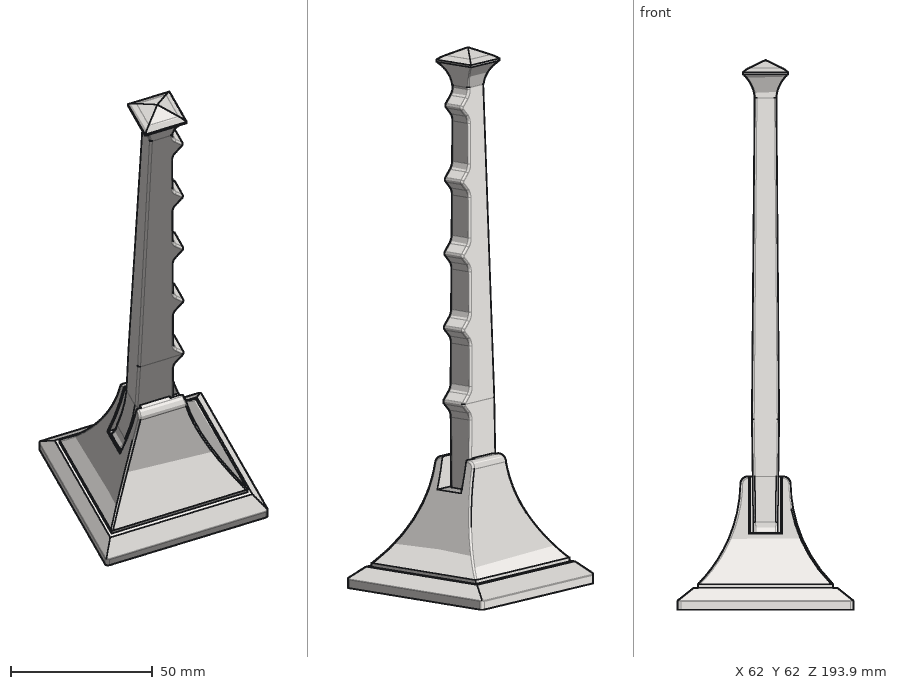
import cadquery as cq
import math

base_width = 62.0
base_half = base_width / 2
total_height = 193.9

plinth_height = 3.3
plinth_corner_radius = 1.2
plinth_rim_radius = 0.4
ledge_z = 7.8
ledge_half_x = 25.4
ledge_half_y = 27.1

step_z = 9.1
step_half_x = 23.8
step_half_y = 26.0
flare_mid_z = 27.1
flare_mid_half_x = 12.2
flare_mid_half_y = 15.1
base_top_z = 47.1
base_top_half = 9.0
base_top_radius = 2.7
ridge_radius = 0.8

post_top_z = 180.5
post_top_half_x = 3.9
post_waist_z = 67.3
post_waist_half_x = 4.8
post_foot_half_x = 4.3
post_hook_face_y = 5.8
post_top_slope_y = -3.0
post_base_slope_y = -8.7
post_edge_radius = 0.8

toe_z = 31.0
toe_y = -12.5
toe_mid_z = 38.4
toe_mid_y = -10.0
toe_end_y = -14.5
toe_bend_y = -13.2
toe_bend_z = 28.7

slot_half_x = 5.5
slot_bed_inset = 1.5
slot_mouth_chamfer = 0.4
front_slot_floor_z = 27.1
back_slot_floor_z = 35.7

hook_count = 5
hook_pitch = 26.65
top_hook_z = 173.7
hook_reach = 4.5
hook_tip_radius = 1.2
hook_blend_radius = 3.9

finial_center_y = (post_hook_face_y + post_top_slope_y) / 2
finial_half = 8.0
finial_rim_top_z = 189.6
finial_rim_bottom_z = 188.8
finial_pyramid_half = 5.6
finial_pyramid_base_z = 191.2
neck_half_y = (post_hook_face_y - post_top_slope_y) / 2
neck_edge_radius = 0.4
neck_mid_z = 184.5
neck_mid_flare = 1.0


def through(profile):
    """Close an outline centred on the part and extrude it right through both ways."""
    return profile.close().extrude(base_width, both=True)


def plinth_prism(plane, ledge_half):
    return through(
        cq.Workplane(plane)
        .moveTo(-base_half, 0)
        .lineTo(base_half, 0)
        .lineTo(base_half, plinth_height)
        .lineTo(ledge_half, ledge_z)
        .lineTo(-ledge_half, ledge_z)
        .lineTo(-base_half, plinth_height)
    )


def make_plinth():
    plinth = plinth_prism("XZ", ledge_half_x).intersect(plinth_prism("YZ", ledge_half_y))
    plinth = plinth.edges("|Z").fillet(plinth_corner_radius)
    rim_band = cq.selectors.BoxSelector(
        (-base_width, -base_width, plinth_height - plinth_rim_radius),
        (base_width, base_width, plinth_height + plinth_rim_radius),
    )
    return plinth.edges(rim_band).fillet(plinth_rim_radius)


def flare_prism(plane, step_half, mid_half):
    return through(
        cq.Workplane(plane)
        .moveTo(-step_half, step_z)
        .lineTo(step_half, step_z)
        .threePointArc((mid_half, flare_mid_z), (base_top_half, base_top_z))
        .lineTo(-base_top_half, base_top_z)
        .threePointArc((-mid_half, flare_mid_z), (-step_half, step_z))
    )


def make_flare():
    across = flare_prism("XZ", step_half_x, flare_mid_half_x)
    across = across.edges("|Y and >Z").fillet(base_top_radius)
    along = flare_prism("YZ", step_half_y, flare_mid_half_y)
    flare = across.intersect(along).edges("not(|X or |Y)").fillet(ridge_radius)
    step = (
        cq.Workplane("XY", origin=(0, 0, ledge_z))
        .rect(2 * step_half_x, 2 * step_half_y)
        .extrude(step_z - ledge_z)
    )
    return flare.union(step)


def make_slot(outward, bed_y, floor_z):
    """Slot open at the top, running from bed_y towards the outward (+1 or -1) Y side."""
    slot = cq.Workplane("XY").box(2 * slot_half_x, base_half, base_top_z, centered=(True, True, False))
    return slot.translate((0, bed_y + outward * base_half / 2, floor_z))


def make_base():
    front_slot = make_slot(-1, post_base_slope_y + slot_bed_inset, front_slot_floor_z)
    back_slot = make_slot(1, post_hook_face_y - slot_bed_inset, back_slot_floor_z)
    base = make_plinth().union(make_flare()).cut(front_slot).cut(back_slot)
    front_mouth = cq.selectors.BoxSelector(
        (-base_top_half, -base_half, front_slot_floor_z - slot_mouth_chamfer),
        (base_top_half, -base_top_half, base_top_z - slot_mouth_chamfer),
    )
    return base.edges(front_mouth).edges("not |Y").chamfer(slot_mouth_chamfer)


def make_hook():
    """One hook level with z = 0, rounded at its tip and blended into the post face."""
    sharp_tip_y = post_hook_face_y + hook_reach
    tip_offset = hook_tip_radius / math.sqrt(2)
    tip_arc_y = sharp_tip_y - tip_offset
    rounded_tip_y = sharp_tip_y - hook_tip_radius * (math.sqrt(2) - 1)
    half_turn = math.radians(45) / 2
    blend_length = hook_blend_radius * math.tan(half_turn)
    blend_offset = blend_length / math.sqrt(2)
    blend_start_z = hook_reach + blend_length
    blend_end = (post_hook_face_y + blend_offset, hook_reach - blend_offset)
    blend_mid = (
        post_hook_face_y + hook_blend_radius * (1 - math.cos(half_turn)),
        blend_start_z - hook_blend_radius * math.sin(half_turn),
    )
    return through(
        cq.Workplane("YZ")
        .moveTo(finial_center_y, blend_start_z)
        .lineTo(post_hook_face_y, blend_start_z)
        .threePointArc(blend_mid, blend_end)
        .lineTo(tip_arc_y, tip_offset)
        .threePointArc((rounded_tip_y, 0), (tip_arc_y, -tip_offset))
        .lineTo(blend_end[0], -blend_end[1])
        .threePointArc((blend_mid[0], -blend_mid[1]), (post_hook_face_y, -blend_start_z))
        .lineTo(finial_center_y, -blend_start_z)
    )


def make_post_side():
    """Side outline of the post, its toe and its hooks, extruded along X."""
    side = through(
        cq.Workplane("YZ")
        .moveTo(post_hook_face_y, post_top_z)
        .lineTo(post_top_slope_y, post_top_z)
        .lineTo(post_base_slope_y, base_top_z)
        .threePointArc((toe_mid_y, toe_mid_z), (toe_y, toe_z))
        .threePointArc((toe_bend_y, toe_bend_z), (toe_end_y, front_slot_floor_z))
        .lineTo(post_hook_face_y, front_slot_floor_z)
    )
    hook = make_hook()
    for index in range(hook_count):
        side = side.union(hook.translate((0, 0, top_hook_z - index * hook_pitch)))
    return side


def make_post_section(low_z, low_half_x, high_z, high_half_x):
    """Stretch of the post with straight tapering sides and rounded corner edges."""
    front = through(
        cq.Workplane("XZ")
        .moveTo(-low_half_x, low_z)
        .lineTo(low_half_x, low_z)
        .lineTo(high_half_x, high_z)
        .lineTo(-high_half_x, high_z)
    )
    section = make_post_side().intersect(front)
    return section.edges("not(|X or |Y)").fillet(post_edge_radius)


def make_post():
    lower = make_post_section(front_slot_floor_z, post_foot_half_x, post_waist_z, post_waist_half_x)
    upper = make_post_section(post_waist_z, post_waist_half_x, post_top_z, post_top_half_x)
    return lower.union(upper)


def finial_half_prism(plane, neck_half):
    """Half of the finial outline, on the positive side, extruded through."""
    return through(
        cq.Workplane(plane)
        .moveTo(0, total_height)
        .lineTo(finial_pyramid_half, finial_pyramid_base_z)
        .tangentArcPoint((finial_half, finial_rim_top_z), relative=False)
        .lineTo(finial_half, finial_rim_bottom_z)
        .threePointArc((neck_half + neck_mid_flare, neck_mid_z), (neck_half, post_top_z))
        .lineTo(0, post_top_z)
    )


def make_finial():
    across = finial_half_prism("XZ", post_top_half_x)
    across = across.union(across.mirror("YZ"))
    along = finial_half_prism("YZ", neck_half_y)
    along = along.union(along.mirror("XZ"))
    finial = across.intersect(along).edges("not(|X or |Y)").edges("<Z").fillet(neck_edge_radius)
    return finial.translate((0, finial_center_y, 0))


result = make_base().union(make_post()).union(make_finial())